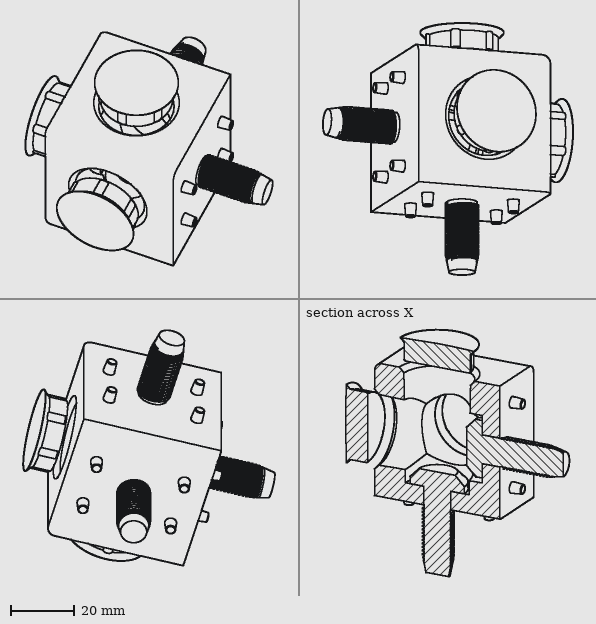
import cadquery as cq
import math

CUBE_SIZE = 45.05
HALF = CUBE_SIZE / 2
EDGE_RADIUS = 3.0

MOUTH_RADIUS = 13.5
LIP_RADIUS = 12.2
LIP_HEIGHT = 0.4
BORE_RADIUS = 11.9
BORE_FLOOR_RADIUS = 11.3
BORE_FLOOR = 16.1

BORE_SEAM_ANGLE = 230

PEG_BASE_RADIUS = 1.9
PEG_TIP_RADIUS = 1.6
PEG_HEIGHT = 4.0
PEG_TIP_CHAMFER = 0.2
PEG_FAR_OFFSET = 14.4
PEG_NEAR_OFFSET = 8.05

CAP_GAP = 2.3
CAP_HEIGHT = 8.1
SKIRT_RADIUS = 11.5
SKIRT_HEIGHT = 5.85
RIM_RADIUS = 26.5 / 2
RIM_EDGE = 0.15

RIB_COUNT = 6
RIB_PITCH_ANGLE = 360 / RIB_COUNT
RIB_OFFSET = 9.7
RIB_RADIUS = 2.3
RIB_HEIGHT = 6.25
RIB_CHAMFER = 0.5

SCREW_REACH = 22.65
HEAD_RADIUS = 19.6 / 2
HEAD_TOP_RADIUS = 13.0 / 2
HEAD_FLANGE = 2.35
HEAD_CONE = HEAD_RADIUS - HEAD_TOP_RADIUS
CORE_RADIUS = 9.5 / 2
TIP_RADIUS = 4.1
TIP_LENGTH = 3.1

THREAD_RADIUS = 10.7 / 2
THREAD_PITCH = 1.19
THREAD_START = 0.6
THREAD_LENGTH = 18.9
THREAD_ROOT_WIDTH = 0.85
THREAD_CREST_WIDTH = 0.2
THREAD_SINK = 0.15

X_AXIS = cq.Vector(1, 0, 0)
Y_AXIS = cq.Vector(0, 1, 0)
Z_AXIS = cq.Vector(0, 0, 1)

STATIONS = [
    (X_AXIS, Y_AXIS, RIB_PITCH_ANGLE / 2),
    (Y_AXIS, Z_AXIS, 0),
    (-Z_AXIS, Y_AXIS, 0),
]


def stand_along(part, direction, across):
    """Turn a part built along +Z so that it points in the given direction."""
    plane = cq.Plane(origin=(0, 0, 0), xDir=across, normal=direction)
    return cq.Workplane(part.val().moved(cq.Location(plane)))


def turned(points):
    """Solid of revolution about Z from (radius, height) points."""
    return cq.Workplane("XZ").polyline(points).close().revolve(360, (0, 0, 0), (0, 1, 0))


def make_bore():
    mouth_bottom = HALF - (MOUTH_RADIUS - LIP_RADIUS)
    return turned([
        (0, HALF),
        (MOUTH_RADIUS, HALF),
        (LIP_RADIUS, mouth_bottom),
        (BORE_RADIUS, mouth_bottom - LIP_HEIGHT),
        (BORE_FLOOR_RADIUS, -BORE_FLOOR),
        (0, -BORE_FLOOR),
    ])


def make_peg(far, near):
    peg = turned([
        (0, 0),
        (PEG_BASE_RADIUS, 0),
        (PEG_TIP_RADIUS, PEG_HEIGHT - PEG_TIP_CHAMFER),
        (PEG_TIP_RADIUS - PEG_TIP_CHAMFER, PEG_HEIGHT),
        (0, PEG_HEIGHT),
    ])
    return peg.translate((far, near, HALF))


def make_housing():
    body = cq.Workplane("XY").box(CUBE_SIZE, CUBE_SIZE, CUBE_SIZE)
    body = body.edges("(<X and <Y) or (<X and >Z) or (<Y and >Z)").fillet(EDGE_RADIUS)
    bore = make_bore().rotate((0, 0, 0), (0, 0, 1), BORE_SEAM_ANGLE)
    screw_hole = cq.Workplane("XY").circle(CORE_RADIUS).extrude(HALF)
    for direction, across, _ in STATIONS:
        body = body.cut(stand_along(bore, -direction, across))
        body = body.cut(stand_along(screw_hole, direction, across))
        for far in (-PEG_FAR_OFFSET, PEG_FAR_OFFSET):
            for near in (-PEG_NEAR_OFFSET, PEG_NEAR_OFFSET):
                body = body.union(stand_along(make_peg(far, near), direction, across))
    return body


def make_cap():
    base = HALF + CAP_GAP
    top = base + CAP_HEIGHT
    rim_bottom = base + SKIRT_HEIGHT + RIM_RADIUS - SKIRT_RADIUS
    rim_top = rim_bottom + RIM_EDGE

    dome_rise = top - rim_top
    dome_radius = (RIM_RADIUS**2 + dome_rise**2) / (2 * dome_rise)
    half_angle = math.asin(RIM_RADIUS / dome_radius) / 2
    dome_middle = (
        dome_radius * math.sin(half_angle),
        top - dome_radius * (1 - math.cos(half_angle)),
    )
    cap = (
        cq.Workplane("XZ")
        .moveTo(0, base)
        .lineTo(SKIRT_RADIUS, base)
        .lineTo(SKIRT_RADIUS, base + SKIRT_HEIGHT)
        .lineTo(RIM_RADIUS, rim_bottom)
        .lineTo(RIM_RADIUS, rim_top)
        .threePointArc(dome_middle, (0, top))
        .close()
        .revolve(360, (0, 0, 0), (0, 1, 0))
    )

    rib = (
        cq.Workplane("XY")
        .circle(RIB_RADIUS)
        .extrude(RIB_HEIGHT)
        .faces("<Z")
        .chamfer(RIB_CHAMFER)
        .translate((RIB_OFFSET, 0, base))
    )
    for index in range(RIB_COUNT):
        cap = cap.union(rib.rotate((0, 0, 0), (0, 0, 1), index * RIB_PITCH_ANGLE))
    return cap


def make_thread():
    foot = CORE_RADIUS - THREAD_SINK
    helix = cq.Wire.makeHelix(THREAD_PITCH, THREAD_LENGTH, foot)
    thread = (
        cq.Workplane("XZ")
        .polyline([
            (foot, -THREAD_ROOT_WIDTH / 2),
            (THREAD_RADIUS, -THREAD_CREST_WIDTH / 2),
            (THREAD_RADIUS, THREAD_CREST_WIDTH / 2),
            (foot, THREAD_ROOT_WIDTH / 2),
        ])
        .close()
        .sweep(cq.Workplane(helix), isFrenet=True)
    )
    return thread.translate((0, 0, HALF + THREAD_START))


def make_screw():
    end = HALF + SCREW_REACH
    flange_top = BORE_FLOOR - HEAD_FLANGE
    core = turned([
        (0, flange_top - HEAD_CONE),
        (HEAD_TOP_RADIUS, flange_top - HEAD_CONE),
        (HEAD_RADIUS, flange_top),
        (HEAD_RADIUS, BORE_FLOOR),
        (CORE_RADIUS, BORE_FLOOR),
        (CORE_RADIUS, end - TIP_LENGTH),
        (TIP_RADIUS, end),
        (0, end),
    ])

    cone_bottom = end - 2 * TIP_LENGTH
    cone_bottom_radius = 2 * CORE_RADIUS - TIP_RADIUS
    trim_radius = 2 * THREAD_RADIUS
    trim = turned([
        (TIP_RADIUS, end),
        (cone_bottom_radius, cone_bottom),
        (trim_radius, cone_bottom),
        (trim_radius, end),
    ])
    return core.union(make_thread()).cut(trim)


housing = make_housing()
cap_form = make_cap()
screw_form = make_screw()

caps = []
screws = []
for direction, across, cap_turn in STATIONS:
    cap = cap_form.rotate((0, 0, 0), (0, 0, 1), cap_turn)
    caps.append(stand_along(cap, -direction, across))
    screws.append(stand_along(screw_form, direction, across))

result = cq.Compound.makeCompound(
    [*housing.vals(), *[cap.val() for cap in caps], *[screw.val() for screw in screws]]
)